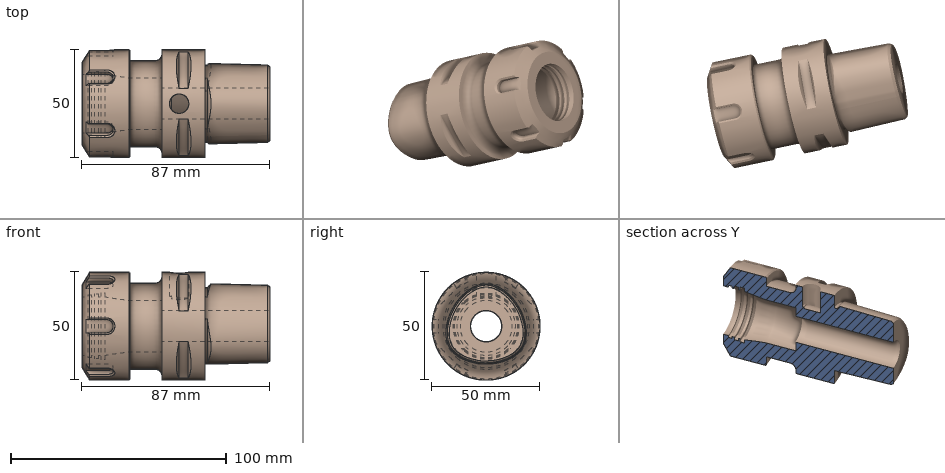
import cadquery as cq
import math


total_length = 87.0
nut_chamfer_length = 3.5
nut_back = 22.2
flange_front = 36.9
flange_back = 56.9
taper_start = 59.9
rear_chamfer_length = 1.3

body_diameter = 50.0
nut_face_diameter = 38.4
neck_diameter = 40.0
nut_back_chamfer = 0.6
neck_fillet = 3.0

lip_diameter = 27.1
collet_diameter = 24.0
through_diameter = 14.35
ring_grooves = [(2.6, 4.3, 29.15), (5.65, 7.6, 30.0), (8.6, 10.6, 30.6)]
collet_taper_angle = 8.0
collet_bore_depth = flange_front

slot_count = 6
slot_width = 6.1
slot_floor_radius = 22.0
slot_end_center = 11.3
slot_edge_chamfer = 0.8
face_clearance = 0.1

grip_angles = [45.0, 135.0, 225.0, 315.0]
grip_center = 47.0
grip_floor_width = 4.2
grip_floor_radius = 22.0
grip_wall_slope = 24.0

side_hole_diameter = 9.0
side_hole_center = 44.9
core_step = 41.2
core_front_diameter = 27.8
core_back_diameter = 26.1

shank_radius = 18.6
lobe_height = 1.05
shank_taper = 1 / 20
rear_chamfer_height = 0.9
groove_radius = 17.8
groove_floor_end = 58.0
groove_floor_sag = 0.2
lobe_count = 3
points_per_lobe = 13

body_radius = body_diameter / 2


def revolve_about_axis(profile):
    return profile.close().revolve(360, (0, 0, 0), (1, 0, 0))


def spanner_slots():
    """Round-ended slots with straight walls and flat floors, open towards the front of the nut."""
    half_width = slot_width / 2
    slot = (
        cq.Workplane("XY")
        .workplane(offset=slot_floor_radius)
        .moveTo(0, -half_width)
        .lineTo(slot_end_center, -half_width)
        .threePointArc((slot_end_center + half_width, 0), (slot_end_center, half_width))
        .lineTo(0, half_width)
        .close()
        .extrude(slot_floor_radius)
    )
    slots = cq.Workplane("XY")
    for i in range(slot_count):
        slots = slots.add(slot.rotate((0, 0, 0), (1, 0, 0), 90 + i * 360 / slot_count))
    return slots.combine()


def is_slot_rim(edge):
    """True for the edges where a slot wall meets the outer surface of the nut."""
    center = edge.Center()
    in_slot_length = face_clearance < center.x < slot_end_center + slot_width / 2
    return in_slot_length and math.hypot(center.y, center.z) > (slot_floor_radius + body_radius) / 2


def nut():
    """Slotted nut; the rims of the slots are chamfered before the front cone is turned."""
    blank = cq.Workplane("YZ").circle(body_radius).extrude(nut_back)
    blank = blank.faces(">X").edges().chamfer(nut_back_chamfer)
    slotted = blank.cut(spanner_slots())
    rims = [edge for edge in slotted.edges().vals() if is_slot_rim(edge)]
    slotted = slotted.newObject(rims).chamfer(slot_edge_chamfer)
    turned_envelope = revolve_about_axis(
        cq.Workplane("XY")
        .lineTo(0, nut_face_diameter / 2)
        .lineTo(nut_chamfer_length, body_radius)
        .lineTo(nut_back, body_radius)
        .lineTo(nut_back, 0)
    )
    return slotted.intersect(turned_envelope)


def neck_and_flange():
    neck_radius = neck_diameter / 2
    fillet_start = flange_front - neck_fillet
    fillet_mid_offset = neck_fillet * math.sqrt(0.5)
    return revolve_about_axis(
        cq.Workplane("XY")
        .moveTo(nut_back, 0)
        .lineTo(nut_back, neck_radius)
        .lineTo(fillet_start, neck_radius)
        .threePointArc(
            (fillet_start + fillet_mid_offset, neck_radius + neck_fillet - fillet_mid_offset),
            (flange_front, neck_radius + neck_fillet),
        )
        .lineTo(flange_front, body_radius)
        .lineTo(flange_back, body_radius)
        .lineTo(flange_back, 0)
    )


def lobe_point(radius, angle):
    """Point of the lobed outline whose normal has the given angle.

    The tangent there is at distance radius + lobe_height * cos(phase) from the axis;
    one lobe points to +Z.
    """
    phase = lobe_count * (angle - math.pi / 2)
    support = radius + lobe_height * math.cos(phase)
    slope = -lobe_count * lobe_height * math.sin(phase)
    y = support * math.cos(angle) - slope * math.sin(angle)
    z = support * math.sin(angle) + slope * math.cos(angle)
    return y, z


def lobe_wire(x, radius):
    """Closed lobed outline at x, one spline per lobe, meeting in the middle of the flatter sides."""
    pitch = 2 * math.pi / lobe_count
    edges = []
    for lobe in range(lobe_count):
        start = math.pi / 2 + (lobe - 0.5) * pitch
        angles = [start + pitch * i / (points_per_lobe - 1) for i in range(points_per_lobe)]
        points = [cq.Vector(x, *lobe_point(radius, a)) for a in angles]
        tangents = [cq.Vector(0, -math.sin(a), math.cos(a)) for a in (angles[0], angles[-1])]
        edges.append(cq.Edge.makeSpline(points, tangents=tangents))
    return cq.Wire.assembleEdges(edges)


def shank():
    chamfer_start = total_length - rear_chamfer_length
    rear_radius = shank_radius - (chamfer_start - taper_start) * shank_taper / 2
    sections = [
        (flange_back, shank_radius),
        (taper_start, shank_radius),
        (chamfer_start, rear_radius),
        (total_length, rear_radius - rear_chamfer_height),
    ]
    wires = [lobe_wire(x, radius) for x, radius in sections]
    return cq.Workplane(cq.Solid.makeLoft(wires, True))


def shank_groove():
    """Relief with a hollow floor and a 45 degree back wall; it only bites into the lobes."""
    clear_radius = body_radius
    edge_radius = groove_radius + groove_floor_sag
    profile = (
        cq.Workplane("XY")
        .moveTo(flange_back, edge_radius)
        .threePointArc(
            ((flange_back + groove_floor_end) / 2, groove_radius),
            (groove_floor_end, edge_radius),
        )
        .lineTo(groove_floor_end + clear_radius - edge_radius, clear_radius)
        .lineTo(flange_back, clear_radius)
    )
    return revolve_about_axis(profile)


def bore():
    lip_radius = lip_diameter / 2
    collet_radius = collet_diameter / 2
    profile = cq.Workplane("XY").lineTo(0, lip_radius)
    for start, end, diameter in ring_grooves:
        profile = (
            profile.lineTo(start, lip_radius)
            .lineTo(start, diameter / 2)
            .lineTo(end, diameter / 2)
            .lineTo(end, lip_radius)
        )
    taper_front = ring_grooves[-1][1]
    taper_length = (lip_radius - collet_radius) / math.tan(math.radians(collet_taper_angle))
    profile = (
        profile.lineTo(taper_front + taper_length, collet_radius)
        .lineTo(collet_bore_depth, collet_radius)
        .lineTo(collet_bore_depth, through_diameter / 2)
        .lineTo(total_length, through_diameter / 2)
        .lineTo(total_length, 0)
    )
    return revolve_about_axis(profile)


def grip_grooves():
    """Straight grooves across the flange with a flat floor and sloped side walls."""
    height = body_radius - grip_floor_radius
    half_floor = grip_floor_width / 2
    half_top = half_floor + height * math.tan(math.radians(grip_wall_slope))
    groove = (
        cq.Workplane("XZ")
        .moveTo(grip_center - half_floor, grip_floor_radius)
        .lineTo(grip_center + half_floor, grip_floor_radius)
        .lineTo(grip_center + half_top, body_radius)
        .lineTo(grip_center - half_top, body_radius)
        .close()
        .extrude(body_radius, both=True)
    )
    grooves = cq.Workplane("XY")
    for angle in grip_angles:
        grooves = grooves.add(groove.rotate((0, 0, 0), (1, 0, 0), angle))
    return grooves.combine()


def side_hole():
    """Radial hole at the top of the flange, ending on the stepped core."""
    core = revolve_about_axis(
        cq.Workplane("XY")
        .moveTo(flange_front, 0)
        .lineTo(flange_front, core_front_diameter / 2)
        .lineTo(core_step, core_front_diameter / 2)
        .lineTo(core_step, core_back_diameter / 2)
        .lineTo(flange_back, core_back_diameter / 2)
        .lineTo(flange_back, 0)
    )
    hole = (
        cq.Workplane("XY")
        .center(side_hole_center, 0)
        .circle(side_hole_diameter / 2)
        .extrude(body_radius)
    )
    return hole.cut(core)


result = (
    nut()
    .union(neck_and_flange())
    .union(shank().cut(shank_groove()))
    .cut(bore())
    .cut(grip_grooves())
    .cut(side_hole())
)